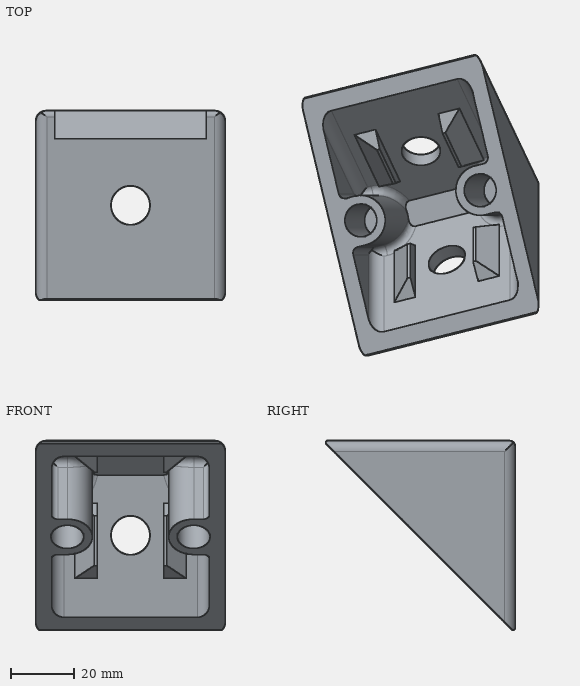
import cadquery as cq
import math

size = 60.0
half_size = size / 2
tip_land = 0.95
tip_chamfer = 0.5
side_radius = 3.5
corner_radius = 2.0

relief_width = 48.0
relief_leg = 9.0

wall = 5.05
cavity_width = 49.9
cavity_leg = 5.9
cavity_radius = 3.9

boss_spacing = 39.95
boss_radius = 7.9
boss_hole_diameter = 10.4
boss_hole_depth = 27.0
boss_fillet = 2.0

wall_hole_diameter = 12.25

rib_gap = 21.0
rib_base_width = 7.1
rib_crest_width = 0.95
rib_height = 5.0
rib_start = 16.4
rib_length = 23.8
rib_end_run = 4.1

diagonal_sum = size - tip_land
diagonal_mid = diagonal_sum / 2
inner_face = size - wall
tolerance = 0.005
boss_length = size
overshoot = 0.6


def prism(points, width):
    """Extrude a YZ outline along X, centred on X = 0."""
    return cq.Workplane("YZ").polyline(points).close().extrude(width / 2, both=True)


def make_outer():
    outline = [
        (tip_chamfer, size),
        (size, size),
        (size, tip_chamfer),
        (size - tip_chamfer, 0),
        (diagonal_sum, 0),
        (0, diagonal_sum),
        (0, size - tip_chamfer),
    ]
    wall_corner = cq.selectors.NearestToPointSelector((0, size, size))
    body = prism(outline, size).edges(wall_corner).fillet(corner_radius)
    block = cq.Workplane("XY").box(size, size, size, centered=(True, False, False))
    rounded_top = block.edges("|Y and >Z").fillet(side_radius)
    rounded_back = block.edges("|Z and >Y").fillet(side_radius)
    return body.intersect(rounded_top).intersect(rounded_back)


def make_relief():
    return prism([(size - relief_leg, size), (size, size), (size, size - relief_leg)], relief_width)


def diagonal_plane(x):
    return cq.Workplane(cq.Plane(origin=(x, diagonal_mid, diagonal_mid), xDir=(1, 0, 0), normal=(0, 1, 1)))


def make_boss(side):
    """Round boss joined to its side wall by a web of the same thickness."""
    x = side * boss_spacing / 2
    web_length = half_size - boss_spacing / 2
    boss = diagonal_plane(x).circle(boss_radius).extrude(boss_length)
    web = diagonal_plane(x + side * web_length / 2).rect(web_length, 2 * boss_radius).extrude(boss_length)
    return boss.union(web)


def make_cavity():
    """Void between the walls, rounded where it meets the bosses."""
    outline = [
        (diagonal_sum - inner_face, inner_face),
        (inner_face - cavity_leg, inner_face),
        (inner_face, inner_face - cavity_leg),
        (inner_face, diagonal_sum - inner_face),
    ]
    void = prism(outline, cavity_width)
    side_edges = void.faces("|X").edges().filter(
        lambda edge: edge.Center().y + edge.Center().z > diagonal_sum + tolerance
    )
    rounded_void = side_edges.fillet(cavity_radius)
    for side in (-1, 1):
        void = void.cut(make_boss(side))
    void = void.newObject(find_boss_root_edges(void)).fillet(boss_fillet)
    return void.intersect(rounded_void)


def find_boss_root_edges(void):
    """Edges where the bosses run into the side, top and back walls."""
    roots = []
    for edge in void.edges().vals():
        middle = edge.positionAt(0.5)
        across = abs(middle.y - middle.z) / math.sqrt(2)
        sideways = abs(middle.x) - boss_spacing / 2
        if sideways < 0:
            offset = math.hypot(across, sideways)
        else:
            offset = across
        on_boss = abs(offset - boss_radius) < tolerance
        at_open_end = middle.y + middle.z < diagonal_sum + tolerance
        at_sloped_web = middle.y + middle.z > 2 * inner_face - cavity_leg - tolerance
        between_flat_and_round = abs(sideways) < tolerance
        if on_boss and not (at_open_end or at_sloped_web or between_flat_and_round):
            roots.append(edge)
    return roots


def make_boss_hole(side):
    hole = diagonal_plane(side * boss_spacing / 2).circle(boss_hole_diameter / 2)
    return hole.extrude(boss_hole_depth)


def make_wall_holes():
    """Holes through both walls, stopping inside the cavity."""
    radius = wall_hole_diameter / 2
    hole_depth = wall + overshoot
    top_hole = cq.Workplane("XY", origin=(0, half_size, size)).circle(radius).extrude(-hole_depth)
    back_hole = cq.Workplane("XZ", origin=(0, size, half_size)).circle(radius).extrude(hole_depth)
    return top_hole.union(back_hole)


def make_rib(wall_plane, side):
    """Rib with an upright inner side, a sloped outer side and sloped ends.

    The plane lies on the inner wall face with its normal into the cavity, its local x along X
    and its local origin level with the middle of the rib.
    """
    inner_side = rib_gap / 2
    base_x = side * (inner_side + rib_base_width / 2)
    crest_x = side * (inner_side + rib_crest_width / 2)
    base = cq.Workplane(wall_plane).center(base_x, 0).rect(rib_base_width, rib_length)
    crest = base.workplane(offset=rib_height).center(crest_x - base_x, 0)
    return crest.rect(rib_crest_width, rib_length - 2 * rib_end_run).loft(ruled=True)


rib_middle = rib_start + rib_length / 2
inner_wall_planes = (
    cq.Plane(origin=(0, inner_face, rib_middle), xDir=(1, 0, 0), normal=(0, -1, 0)),
    cq.Plane(origin=(0, rib_middle, inner_face), xDir=(1, 0, 0), normal=(0, 0, -1)),
)

result = make_outer().cut(make_relief()).cut(make_cavity()).cut(make_wall_holes())
for side in (-1, 1):
    result = result.cut(make_boss_hole(side))
    for wall_plane in inner_wall_planes:
        result = result.union(make_rib(wall_plane, side))